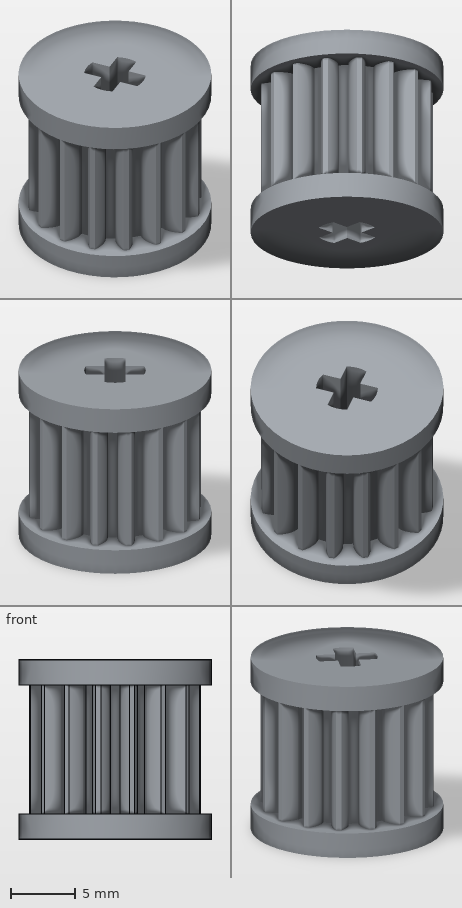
import cadquery as cq
import math

flange_radius = 7.5
total_height = 14.0
flange_thickness = 2.0
toothed_height = total_height - 2 * flange_thickness

tooth_count = 16
gear_module = 0.75
dedendum_factor = 1.25
pressure_angle = math.radians(23)
pitch_radius = tooth_count * gear_module / 2
tip_radius = pitch_radius + gear_module
root_radius = pitch_radius - dedendum_factor * gear_module
base_radius = pitch_radius * math.cos(pressure_angle)
pitch_angle = 360 / tooth_count
first_tooth_angle = pitch_angle / 2

axle_radius = 2.4
axle_arm_width = 1.62
axle_angle = 24.6


def involute(angle):
    """Involute function of an angle in radians."""
    return math.tan(angle) - angle


def flank_point(radius, side):
    """Point on a flank of the tooth along +X; the flank is radial below the base circle."""
    local_pressure_angle = math.acos(min(base_radius / radius, 1))
    half_angle_at_pitch = math.pi / (2 * tooth_count)
    half_angle = half_angle_at_pitch + involute(pressure_angle) - involute(local_pressure_angle)
    return radius * math.cos(half_angle), side * radius * math.sin(half_angle)


def make_disc(bottom, radius, height):
    return cq.Workplane("XY").workplane(offset=bottom).circle(radius).extrude(height)


def rotate_about_axis(solid, angle):
    return solid.rotate((0, 0, 0), (0, 0, 1), angle)


def make_tooth():
    """One tooth along +X: straight radial sides, an arc along each involute flank, and a round tip."""
    mid_radius = (base_radius + tip_radius) / 2
    return (
        cq.Workplane("XY")
        .workplane(offset=flange_thickness)
        .lineTo(*flank_point(base_radius, -1))
        .threePointArc(flank_point(mid_radius, -1), flank_point(tip_radius, -1))
        .threePointArc((tip_radius, 0), flank_point(tip_radius, 1))
        .threePointArc(flank_point(mid_radius, 1), flank_point(base_radius, 1))
        .close()
        .extrude(toothed_height)
    )


def make_toothed_core():
    core = make_disc(flange_thickness, root_radius, toothed_height)
    tooth = make_tooth()
    for index in range(tooth_count):
        core = core.union(rotate_about_axis(tooth, first_tooth_angle + index * pitch_angle))
    return core


def make_axle_hole():
    """Two crossed bars trimmed to a round outline, running the full height."""
    bar = cq.Workplane("XY").rect(2 * axle_radius, axle_arm_width).extrude(total_height)
    cross = bar.union(rotate_about_axis(bar, 90))
    trimmed_cross = cross.intersect(make_disc(0, axle_radius, total_height))
    return rotate_about_axis(trimmed_cross, axle_angle)


bottom_flange = make_disc(0, flange_radius, flange_thickness)
top_flange = make_disc(total_height - flange_thickness, flange_radius, flange_thickness)
result = make_toothed_core().union(bottom_flange).union(top_flange).cut(make_axle_hole())